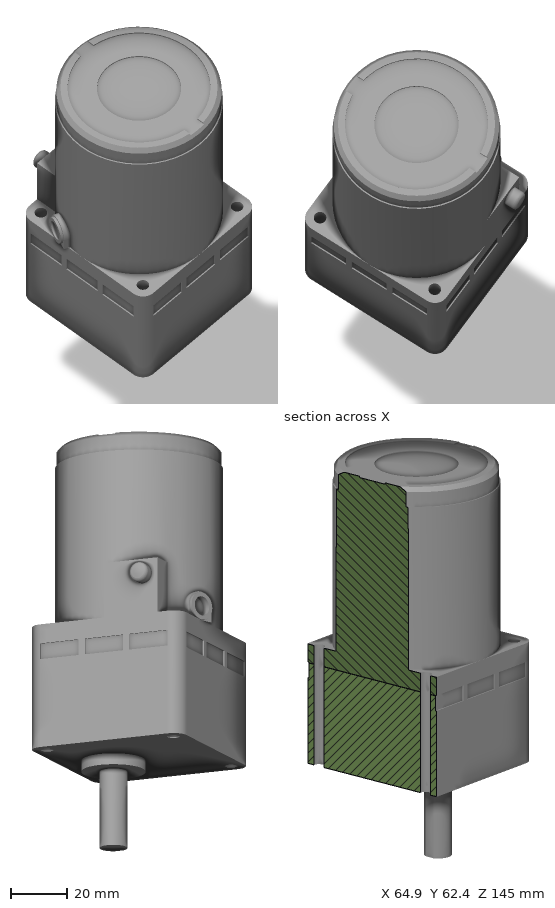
import cadquery as cq
import math


FLANGE_SIDE = 60.0
CORNER_RADIUS = 5.0
BOLT_CIRCLE_DIAMETER = 70.0
BOLT_PITCH = BOLT_CIRCLE_DIAMETER / math.sqrt(2)
BOLT_HOLE_DIAMETER = 4.5
HALF_SIDE = FLANGE_SIDE / 2

GEARHEAD_HEIGHT = 38.0
FLANGE_HEIGHT = 7.0
FLANGE_TOP = GEARHEAD_HEIGHT + FLANGE_HEIGHT
BARREL_HEIGHT = 61.0
BARREL_TOP = FLANGE_TOP + BARREL_HEIGHT
CAP_HEIGHT = 7.0
CAP_TOP = BARREL_TOP + CAP_HEIGHT

SHAFT_OFFSET = 10.0
SHAFT_DIAMETER = 10.0
SHAFT_LENGTH = 32.0
SHAFT_FLAT_LENGTH = 24.7
SHAFT_FLAT_DEPTH = 0.3
PILOT_DIAMETER = 23.0
PILOT_HEIGHT = 4.0

POCKETS_PER_SIDE = 3
POCKET_WIDTH = 15.0
POCKET_HEIGHT = 5.75
POCKET_DEPTH = 0.5
POCKET_PITCH = (FLANGE_SIDE - 2 * CORNER_RADIUS - POCKET_WIDTH) / (POCKETS_PER_SIDE - 1)

BARREL_RADIUS = HALF_SIDE
CAP_RADIUS = 29.5
CAP_CHAMFER = 1.5
CAP_RECESS_RADIUS = 25.5
CAP_RECESS_DEPTH = 0.5
CAP_NOTCH_WIDTH = 7.0
CAP_CENTRE_RADIUS = 15.0
CAP_CENTRE_DEPTH = 0.5

BLOCK_WIDTH = 21.0
BLOCK_HEIGHT = 20.0
STUD_Y = -15.3
STUD_RISE = 14.5
STUD_Z = FLANGE_TOP + STUD_RISE
STUD_RADIUS = 3.5
STUD_LENGTH = 4.92
STUD_DOME_RADIUS = 10.0
STUD_EDGE_RADIUS = 1.2

OUTLET_ANGLE = 22.5
OUTLET_RADIUS = 5.5
OUTLET_RISE = 5.0
OUTLET_Z = FLANGE_TOP + OUTLET_RISE
OUTLET_REACH = 33.0
OUTLET_LIP_RADIUS = OUTLET_RISE
OUTLET_LIP_LENGTH = 1.0
OUTLET_BORE_RADIUS = 3.5
OUTLET_BORE_DEPTH = 3.0


def square_section(bottom, height):
    """Square block with rounded corners and four bolt holes."""
    return (
        cq.Workplane("XY", origin=(0, 0, bottom))
        .rect(FLANGE_SIDE, FLANGE_SIDE)
        .extrude(height)
        .edges("|Z")
        .fillet(CORNER_RADIUS)
        .faces(">Z")
        .workplane(origin=(0, 0, 0))
        .rect(BOLT_PITCH, BOLT_PITCH, forConstruction=True)
        .vertices()
        .hole(BOLT_HOLE_DIAMETER)
    )


def cylinder(radius, bottom, height, y=0):
    return cq.Workplane("XY", origin=(0, y, bottom)).circle(radius).extrude(height)


def side_pockets():
    """Row of pockets on the -Y side, open at the top of the gearhead."""
    first = -POCKET_PITCH * (POCKETS_PER_SIDE - 1) / 2
    centres = [(first + i * POCKET_PITCH, -HALF_SIDE) for i in range(POCKETS_PER_SIDE)]
    return (
        cq.Workplane("XY", origin=(0, 0, GEARHEAD_HEIGHT - POCKET_HEIGHT))
        .pushPoints(centres)
        .rect(POCKET_WIDTH, 2 * POCKET_DEPTH)
        .extrude(POCKET_HEIGHT)
    )


def output_shaft():
    """Shaft with a flat on its +X side, from the gearhead face down."""
    shaft = cylinder(SHAFT_DIAMETER / 2, -SHAFT_LENGTH, SHAFT_LENGTH, SHAFT_OFFSET)
    flat = cq.Workplane("XY").box(
        SHAFT_DIAMETER, SHAFT_DIAMETER, SHAFT_FLAT_LENGTH, centered=(False, True, False)
    )
    flat_x = SHAFT_DIAMETER / 2 - SHAFT_FLAT_DEPTH
    return shaft.cut(flat.translate((flat_x, SHAFT_OFFSET, -SHAFT_LENGTH)))


def make_gearhead():
    body = square_section(0, GEARHEAD_HEIGHT)
    pockets = side_pockets()
    for angle in (0, 90, 180, 270):
        body = body.cut(pockets.rotate((0, 0, 0), (0, 0, 1), angle))
    pilot = cylinder(PILOT_DIAMETER / 2, -PILOT_HEIGHT, PILOT_HEIGHT, SHAFT_OFFSET)
    return body.union(pilot).union(output_shaft())


def end_cap():
    """Chamfered cap with a recessed face, two rim notches and a deeper centre."""
    cap = cylinder(CAP_RADIUS, BARREL_TOP, CAP_HEIGHT).faces(">Z").chamfer(CAP_CHAMFER)
    recess_floor = CAP_TOP - CAP_RECESS_DEPTH
    recess = cylinder(CAP_RECESS_RADIUS, recess_floor, CAP_RECESS_DEPTH)
    notches = (
        cq.Workplane("XY", origin=(0, 0, recess_floor))
        .rect(2 * CAP_RADIUS, CAP_NOTCH_WIDTH)
        .extrude(CAP_RECESS_DEPTH)
    )
    centre = cylinder(CAP_CENTRE_RADIUS, recess_floor - CAP_CENTRE_DEPTH, CAP_CENTRE_DEPTH)
    return cap.cut(recess).cut(notches).cut(centre)


def terminal_block():
    """Block filling the corner between the barrel and the -X side of the flange."""
    return cq.Workplane("XY").box(HALF_SIDE, BLOCK_WIDTH, BLOCK_HEIGHT, centered=False).translate(
        (-HALF_SIDE, -BLOCK_WIDTH, FLANGE_TOP)
    )


def stud():
    """Domed stud standing on the -X face of the terminal block."""
    dome_centre = STUD_LENGTH - STUD_DOME_RADIUS
    shoulder = dome_centre + math.sqrt(STUD_DOME_RADIUS**2 - STUD_RADIUS**2)
    profile = (
        cq.Workplane("XZ")
        .lineTo(STUD_RADIUS, 0)
        .lineTo(STUD_RADIUS, shoulder)
        .radiusArc((0, STUD_LENGTH), -STUD_DOME_RADIUS)
        .close()
    )
    return (
        profile.revolve(360, (0, 0, 0), (0, 1, 0))
        .faces("%SPHERE")
        .edges("%CIRCLE")
        .edges("<Z")
        .fillet(STUD_EDGE_RADIUS)
        .rotate((0, 0, 0), (0, 1, 0), -90)
        .translate((-HALF_SIDE, STUD_Y, STUD_Z))
    )


def cable_outlet():
    """Arched outlet standing on the flange, with a round lip at its mouth."""
    axis = cq.Workplane("XZ", origin=(0, 0, OUTLET_Z))
    arch = axis.circle(OUTLET_RADIUS).extrude(OUTLET_REACH - OUTLET_LIP_LENGTH)
    legs = (
        axis.center(0, -OUTLET_RISE / 2)
        .rect(2 * OUTLET_RADIUS, OUTLET_RISE)
        .extrude(OUTLET_REACH - OUTLET_LIP_LENGTH)
    )
    lip = axis.circle(OUTLET_LIP_RADIUS).extrude(OUTLET_REACH)
    below_flange = (
        cq.Workplane("XY", origin=(0, 0, FLANGE_TOP - OUTLET_RADIUS))
        .rect(2 * OUTLET_RADIUS, 2 * OUTLET_REACH)
        .extrude(OUTLET_RADIUS)
    )
    outlet = arch.union(legs).cut(below_flange).union(lip)
    return outlet.rotate((0, 0, 0), (0, 0, 1), -OUTLET_ANGLE)


def outlet_bore():
    return (
        cq.Workplane("XZ", origin=(0, -(OUTLET_REACH - OUTLET_BORE_DEPTH), OUTLET_Z))
        .circle(OUTLET_BORE_RADIUS)
        .extrude(OUTLET_BORE_DEPTH)
        .rotate((0, 0, 0), (0, 0, 1), -OUTLET_ANGLE)
    )


def make_motor():
    return (
        square_section(GEARHEAD_HEIGHT, FLANGE_HEIGHT)
        .union(cylinder(BARREL_RADIUS, FLANGE_TOP, BARREL_HEIGHT))
        .union(terminal_block())
        .union(end_cap())
        .union(stud())
        .union(cable_outlet())
        .cut(outlet_bore())
    )


gearhead = make_gearhead()
motor = make_motor()

result = cq.Compound.makeCompound([gearhead.val(), motor.val()])